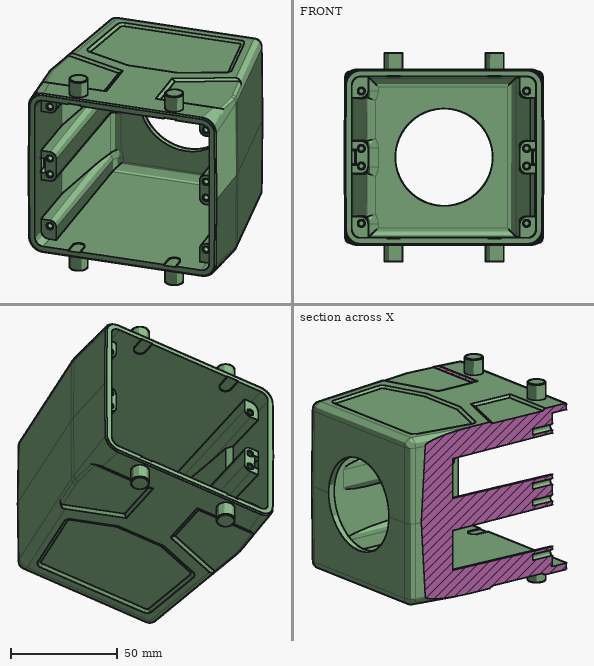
import cadquery as cq
import math


half_width = 47.0
half_depth = 47.0
half_height = 41.4
draft_angle = 0.5
side_slope = math.tan(math.radians(8))
kink_y = -17.2
kink_radius = 19.1
edge_radius = 4.0
front_corner_radius = 7.2
rim_zone_back_y = -18.7
rim_chamfer = 0.7

wall = 3.3
cavity_half_height = half_height - wall
cavity_half_width = 43.4
cavity_back_y = half_depth - wall
cavity_back_half_height = 37.2
cavity_radius = 4.0
left_kink = (-42.9, -9.85)
left_back_x = -36.0
right_step_front = (42.65, -17.5)
right_step_back = (40.5, -14.6)
right_back_x = 33.3
cable_hole_diameter = 45.7

pillar_front_y = -38.6
pillar_face_x = 35.8
pillar_draft = 0.5
pillar_radius = 3.2
middle_pillar_half_height = 7.6
corner_pillar_z = 28.1
screw_x = 38.9
screw_heights = (4.1, 31.1)
screw_diameter = 2.7
screw_mouth_diameter = 3.5
screw_depth = 11.8
notch_depth = 3.9
notch_draft = 10
notch_width = 2.2
notch_half_height = 3.7

pin_x = 23.8
pin_y = -40.8
pin_diameter = 8.8
pin_top = 49.25
pin_chamfer = 0.4
groove_width = 5.9
groove_depth = 0.4

panel_depth = 1.0
panel_wall_angle = 60
panel_slope = math.tan(math.radians(20))
panel_corner_radius = 3.0
label_back_y = 39.4
label_front_y = -3.8
label_front_half_width = 12.6
label_side_inset = 7.7
grip_inner_x = 12.3
grip_front_y = -34.1
grip_back_y = -10.4
grip_outer_x = 59.1
grip_edge_radius = 2.0

overrun = 9.85
reach = 59.1


def side_x(y):
    """Half width of the tapered outer side at Z = 0."""
    return half_width - (y - kink_y) * side_slope


def both_halves(upper):
    return upper.union(upper.mirror("XY"))


def make_tapered_shell():
    """Closed block with the tapered back, running past the rim plane at the front."""
    back_x = side_x(half_depth)
    front_y = -half_depth - overrun
    upper = (
        cq.Workplane("XY")
        .polyline([
            (-half_width, front_y), (half_width, front_y), (half_width, kink_y),
            (back_x, half_depth), (-back_x, half_depth), (-half_width, kink_y),
        ])
        .close()
        .extrude(half_height, taper=draft_angle)
    )
    kink_edges = cq.selectors.BoxSelector(
        (-reach, kink_y - 2, 1), (reach, kink_y + 2, half_height - 1))
    upper = upper.edges(kink_edges).fillet(kink_radius)
    back_corners = cq.selectors.BoxSelector(
        (-reach, half_depth - 2, 1), (reach, half_depth + 2, half_height - 1))
    long_edges = upper.faces(">Z").edges("not <Y")
    upper = upper.edges(back_corners).add(long_edges).fillet(edge_radius)
    return both_halves(upper)


def rim_section(y, corner_radius, inset=0.0):
    """Cross-section of the front zone, with the side walls leaning inward."""
    middle_x = half_width - inset
    top_z = half_height - inset
    top_x = middle_x - top_z * math.tan(math.radians(draft_angle))
    outline = [
        (middle_x, 0), (top_x, top_z), (-top_x, top_z),
        (-middle_x, 0), (-top_x, -top_z), (top_x, -top_z), (middle_x, 0),
    ]
    section = cq.Sketch().polygon(outline).vertices(">Y or <Y").fillet(corner_radius).reset()
    return section.moved(cq.Location(cq.Vector(0, 0, -y)))


def make_rim_zone():
    """Front zone whose corners widen toward the chamfered rim."""
    return (
        cq.Workplane("XZ")
        .placeSketch(
            rim_section(rim_zone_back_y, edge_radius),
            rim_section(rim_chamfer - half_depth, front_corner_radius),
            rim_section(-half_depth, front_corner_radius - rim_chamfer, rim_chamfer),
        )
        .loft(ruled=True)
    )


def make_shell():
    size = 4 * half_depth
    behind_rim_zone = cq.Workplane("XY").box(size, size, size).translate(
        (0, rim_zone_back_y + size / 2, 0))
    return make_tapered_shell().intersect(behind_rim_zone).union(make_rim_zone())


def make_cavity():
    """The hollow inside, before the screw pillars are left standing in it."""
    front_y = -half_depth - 1
    plan = (
        cq.Workplane("XY", origin=(0, 0, -half_height))
        .polyline([
            (-cavity_half_width, front_y), (cavity_half_width, front_y),
            right_step_front, right_step_back,
            (right_back_x, cavity_back_y), (left_back_x, cavity_back_y), left_kink,
        ])
        .close()
        .extrude(2 * half_height)
    )
    profile = (
        cq.Workplane("YZ")
        .polyline([
            (front_y, cavity_half_height), (cavity_back_y, cavity_back_half_height),
            (cavity_back_y, -cavity_back_half_height), (front_y, -cavity_half_height),
        ])
        .close()
        .extrude(2 * half_width, both=True)
    )
    return plan.intersect(profile)


def pillar(side, bottom_z, top_z):
    """Drafted pillar against one side wall, widening toward the back wall."""
    outer_x = half_width + overrun
    center = ((pillar_face_x + outer_x) / 2, (bottom_z + top_z) / 2)
    plan = (
        cq.Sketch()
        .push([center])
        .rect(outer_x - pillar_face_x, top_z - bottom_z)
        .reset()
        .vertices("<X").fillet(pillar_radius)
    )
    body = cq.Workplane("XZ", origin=(0, pillar_front_y, 0)).placeSketch(plan).extrude(
        pillar_front_y - cavity_back_y - overrun, taper=-pillar_draft)
    return body if side > 0 else body.mirror("YZ")


def make_hollow():
    """Cavity with the pillars left standing and its inner edges rounded."""
    hollow = make_cavity()
    outer_z = half_height + overrun
    for side in (-1, 1):
        hollow = hollow.cut(pillar(side, -middle_pillar_half_height, middle_pillar_half_height))
        hollow = hollow.cut(pillar(side, corner_pillar_z, outer_z))
        hollow = hollow.cut(pillar(side, -outer_z, -corner_pillar_z))
    hollow = hollow.faces(">Y").edges().fillet(cavity_radius)
    rim_corners = cq.selectors.BoxSelector(
        (-half_width, -half_depth, -half_height), (half_width, pillar_front_y - 1, half_height))
    return hollow.edges(rim_corners).fillet(cavity_radius)


def make_screw_holes():
    points = [
        (side * screw_x, level * z)
        for side in (-1, 1) for level in (-1, 1) for z in screw_heights
    ]
    start = cq.Workplane("XZ", origin=(0, pillar_front_y, 0)).pushPoints(points)
    holes = start.circle(screw_diameter / 2).extrude(-screw_depth)
    countersink_depth = (screw_mouth_diameter - screw_diameter) / 2
    mouths = start.circle(screw_mouth_diameter / 2).extrude(-countersink_depth, taper=45)
    return holes.union(mouths)


def make_notches():
    """Pockets in the front of the middle pillars, next to the side walls."""
    inset = notch_depth * math.tan(math.radians(notch_draft))
    width = notch_width + inset
    center_x = cavity_half_width - notch_width + width / 2
    notch = (
        cq.Workplane("XZ", origin=(center_x, pillar_front_y, 0))
        .rect(width, 2 * notch_half_height)
        .extrude(-notch_depth, taper=notch_draft)
    )
    return notch.union(notch.mirror("YZ"))


def make_cable_hole():
    return cq.Workplane("XZ").circle(cable_hole_diameter / 2).extrude(-half_depth - overrun)


def make_pins():
    root_z = half_height - wall / 2
    pins = (
        cq.Workplane("XY", origin=(0, 0, root_z))
        .pushPoints([(-pin_x, pin_y), (pin_x, pin_y)])
        .circle(pin_diameter / 2)
        .extrude(pin_top - root_z)
        .faces(">Z").edges().chamfer(pin_chamfer)
    )
    return both_halves(pins)


def make_grooves():
    """Shallow round-ended grooves running from the rim to each pin."""
    length = 2 * (pin_y + half_depth) + groove_width
    grooves = (
        cq.Workplane("XY", origin=(0, 0, cavity_half_height - 1))
        .pushPoints([(-pin_x, -half_depth), (pin_x, -half_depth)])
        .slot2D(length, groove_width, 90)
        .extrude(1 + groove_depth)
    )
    return both_halves(grooves)


def make_label_panel():
    """Recess for the rating label, tapered like the hood."""
    front_x = label_front_half_width
    back_x = side_x(label_back_y) - label_side_inset
    side_front_x = side_x(label_front_y) - label_side_inset
    steepness = side_slope * panel_slope
    corner_x = (side_front_x + front_x * steepness) / (1 + steepness)
    corner_y = label_front_y + (corner_x - front_x) * panel_slope
    outline = (
        cq.Sketch()
        .polygon([
            (-back_x, label_back_y), (back_x, label_back_y), (corner_x, corner_y),
            (front_x, label_front_y), (-front_x, label_front_y), (-corner_x, corner_y),
            (-back_x, label_back_y),
        ])
        .vertices("not <Y").fillet(panel_corner_radius).reset()
    )
    panel = cq.Workplane("XY", origin=(0, 0, half_height)).placeSketch(outline).extrude(
        -panel_depth, taper=panel_wall_angle)
    return both_halves(panel)


def make_grip_panels():
    """Recesses beside the pins that run out through the side edges."""
    outer_y = grip_back_y + (grip_outer_x - grip_inner_x) * panel_slope
    panel = (
        cq.Workplane("XY", origin=(0, 0, half_height))
        .polyline([
            (grip_inner_x, grip_front_y), (grip_outer_x, grip_front_y),
            (grip_outer_x, outer_y), (grip_inner_x, grip_back_y),
        ])
        .close()
        .extrude(-panel_depth, taper=panel_wall_angle)
    )
    return both_halves(panel.union(panel.mirror("YZ")))


def round_grip_edges(shell):
    """Round the edges where the grip panel floors run out at the sides."""
    floor_z = half_height - panel_depth
    inner_x = 41.4
    back_y = 4.9
    tolerance = 0.1
    selectors = [
        cq.selectors.BoxSelector(
            (side * inner_x, grip_front_y + 1, z - tolerance),
            (side * reach, back_y, z + tolerance))
        for side in (-1, 1) for z in (-floor_z, floor_z)
    ]
    run_out_edges = selectors[0] + selectors[1] + selectors[2] + selectors[3]
    return shell.edges(run_out_edges).fillet(grip_edge_radius)


hood = round_grip_edges(make_shell().cut(make_grip_panels()))
hood = hood.cut(make_label_panel())
hood = hood.cut(make_hollow())
hood = hood.union(make_pins())
hood = hood.cut(make_cable_hole())
hood = hood.cut(make_grooves())
hood = hood.cut(make_notches())
result = hood.cut(make_screw_holes())